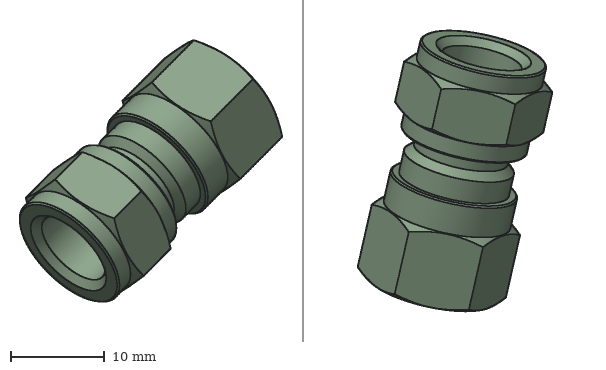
import cadquery as cq
import math

length = 26.82
across_flats = 14.0
across_corners = across_flats / math.cos(math.pi / 6)
envelope_clearance = 0.27
envelope_radius = across_corners / 2 + envelope_clearance

nut_hex_start = 2.05
nut_hex_end = 8.02
nut_end = 9.98
neck_end = 11.53
shoulder_start = 12.42
collar_start = 14.85
body_hex_start = 18.37

nut_radius = 6.87
neck_radius = 5.12
shoulder_radius = 6.0
collar_radius = 6.92
edge_chamfer = 0.2

cone_slope = math.tan(math.radians(30))

mouth_radius = 5.18
socket_radius = 4.35
mouth_depth = mouth_radius - socket_radius
socket_depth = 8.58
bore_radius = 3.0
socket_end = socket_depth + (socket_radius - bore_radius) * cone_slope


def revolve_profile(points):
    """Turn a closed (radius, station) outline about the Y axis."""
    return cq.Workplane("XY").polyline(points).close().revolve(360, (0, 0, 0), (0, 1, 0))


def cylinder(radius, start, end, chamfered):
    """Turned length; the ends listed in chamfered get a small edge chamfer."""
    body = cq.Workplane("XZ", origin=(0, start, 0)).circle(radius).extrude(start - end)
    for face in chamfered:
        body = body.faces(face).chamfer(edge_chamfer)
    return body


def beveled_hex(start, end, face_radius):
    """Hexagon with corners on X, its ends bevelled down to circular faces."""
    prism = (
        cq.Workplane("XZ", origin=(0, start, 0))
        .polygon(6, across_corners)
        .extrude(start - end)
    )
    bevel = (envelope_radius - face_radius) * cone_slope
    envelope = revolve_profile([
        (0, start),
        (face_radius, start),
        (envelope_radius, start + bevel),
        (envelope_radius, end - bevel),
        (face_radius, end),
        (0, end),
    ])
    return prism.intersect(envelope)


nut = cylinder(nut_radius, 0, nut_end, ["<Y", ">Y"])
nut = nut.union(beveled_hex(nut_hex_start, nut_hex_end, nut_radius))

neck = revolve_profile([
    (0, nut_hex_end),
    (neck_radius, nut_hex_end),
    (neck_radius, neck_end),
    (shoulder_radius, shoulder_start),
    (shoulder_radius, body_hex_start),
    (0, body_hex_start),
])

collar = cylinder(collar_radius, collar_start, body_hex_start, ["<Y"])
body_hex = beveled_hex(body_hex_start, length, collar_radius)

bore = revolve_profile([
    (0, 0),
    (mouth_radius, 0),
    (socket_radius, mouth_depth),
    (socket_radius, socket_depth),
    (bore_radius, socket_end),
    (bore_radius, length),
    (0, length),
])

result = nut.union(neck).union(collar).union(body_hex).cut(bore)